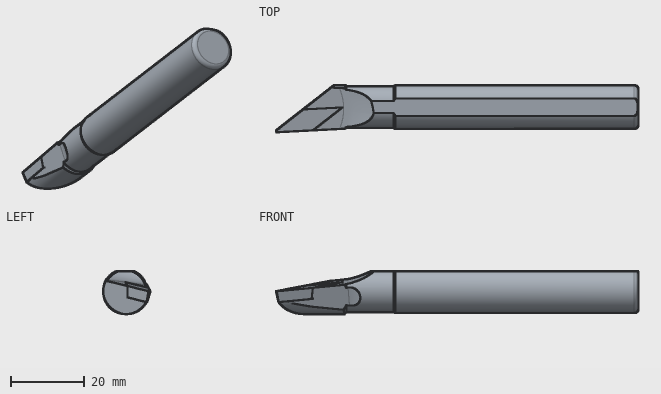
import cadquery as cq
import math

total_length = 99.16
shank_radius = 6.0
shank_start = 32.7
flat_height = 5.5
end_rounding = 1.2
neck_radius = 5.75
neck_end = 32.1
head_radius = 6.3
head_offset = -0.27
head_cone_end = 19.25
head_cone_length = 3.0

tip_y = -6.92
tip_z = -0.05
rise_along_x = 0.09
rise_along_y = 0.13
flute_centre_x = 4.1
flute_flat_radius = 14.5
flute_runout_radius = 16.0

front_angle = 3.0
corner_angle = 35.0
left_angle = front_angle + corner_angle
clearance_angle = 16.0
nose_width = 0.55
front_flat_length = 20.5
front_runout_radius = 6.0

insert_front_length = 10.85
insert_left_length = 10.25
insert_thickness = 3.08

reach = 40.0


def direction(angle):
    """Unit vector in the XY plane at an angle from +X."""
    return cq.Vector(math.cos(math.radians(angle)), math.sin(math.radians(angle)), 0)


def top_height(x, y):
    """Height of the sloping top face of the head."""
    return tip_z + rise_along_x * x + rise_along_y * (y - tip_y)


def edge_direction(angle):
    """Vector along the sloping top face that is a unit long when seen from above."""
    level = direction(angle)
    return level + cq.Vector(0, 0, rise_along_x * level.x + rise_along_y * level.y)


def rod(radius, start, end, y=0.0):
    """Round bar parallel to X."""
    return cq.Workplane("YZ", origin=(start, y, 0)).circle(radius).extrude(end - start)


nose_angle = front_angle + corner_angle / 2
nose_depth = nose_width / 2 / math.tan(math.radians(corner_angle / 2))
corner_to_nose_end = nose_depth / math.cos(math.radians(corner_angle / 2))
corner_x = -corner_to_nose_end * math.cos(math.radians(left_angle))
corner_y = tip_y - corner_to_nose_end * math.sin(math.radians(front_angle))
corner = cq.Vector(corner_x, corner_y, top_height(corner_x, corner_y))
nose_centre = corner + edge_direction(nose_angle) * nose_depth

top_normal = cq.Vector(-rise_along_x, -rise_along_y, 1)


def top_plane(x, y):
    """Frame on the sloping top face, with its normal pointing up."""
    return cq.Plane(origin=(x, y, top_height(x, y)), xDir=(1, 0, rise_along_x), normal=top_normal)


def relief_plane(origin, angle):
    """Frame along an edge of the top face; its XZ plane is the side face, leaning inwards below the edge."""
    edge = edge_direction(angle).normalized()
    lean = math.radians(clearance_angle)
    up = cq.Vector(0, 0, math.cos(lean)) - direction(angle + 90) * math.sin(lean)
    return cq.Plane(origin=origin, xDir=edge, normal=up - edge * up.dot(edge))


def space_outside(plane):
    """Large block on the outer side of a relief plane."""
    return cq.Workplane(plane).center(0, -reach / 2).rect(2 * reach, reach).extrude(reach, both=True)


def flute_cutter():
    """Space above the sloping face: a round tool with a flat end and a large corner radius."""
    rise = flute_runout_radius
    tool = (
        cq.Workplane(top_plane(flute_centre_x, head_offset))
        .transformed(rotate=(90, 0, 0))
        .lineTo(flute_flat_radius, 0)
        .radiusArc((flute_flat_radius + rise, rise), -flute_runout_radius)
        .lineTo(0, rise)
        .close()
        .revolve(360, (0, 0), (0, 1))
    )
    clearing = (
        cq.Workplane(top_plane(flute_centre_x, head_offset))
        .center(-flute_flat_radius, 0)
        .rect(2 * flute_flat_radius, 2 * flute_flat_radius)
        .extrude(rise)
    )
    return tool.union(clearing)


def front_cutter():
    """Space in front of the front face, which curves out of the neck behind the head."""
    rise = front_runout_radius
    return (
        cq.Workplane(relief_plane(corner, front_angle))
        .moveTo(-reach, 0)
        .lineTo(front_flat_length, 0)
        .radiusArc((front_flat_length + rise, -rise), front_runout_radius)
        .lineTo(front_flat_length + rise, -reach)
        .lineTo(-reach, -reach)
        .close()
        .extrude(reach, both=True)
    )


def left_cutter():
    """Space behind the upright slanted left face."""
    plane = cq.Plane(origin=corner, xDir=direction(left_angle), normal=(0, 0, 1))
    return cq.Workplane(plane).center(0, reach / 2).rect(2 * reach, reach).extrude(reach, both=True)


def nose_cutter():
    """Space ahead of the narrow nose face across the tip."""
    return space_outside(relief_plane(nose_centre, nose_angle - 90))


def make_blank():
    """Turned bar with the eccentric head, before the cutting faces are made."""
    shank = rod(shank_radius, shank_start, total_length).faces(">X").edges().fillet(end_rounding)
    neck = rod(neck_radius, 0, neck_end)
    shoulder = (
        cq.Workplane("XY")
        .moveTo(neck_end, 0)
        .lineTo(neck_end, neck_radius)
        .lineTo(shank_start, shank_radius)
        .lineTo(shank_start, 0)
        .close()
        .revolve(360, (0, 0), (1, 0))
    )
    cone_start = head_cone_end - head_cone_length
    head_limit = (
        cq.Workplane("XY")
        .lineTo(0, neck_radius + head_cone_length)
        .lineTo(cone_start, neck_radius + head_cone_length)
        .lineTo(head_cone_end, neck_radius)
        .lineTo(head_cone_end, 0)
        .close()
        .revolve(360, (0, 0), (1, 0))
    )
    head = rod(head_radius, 0, head_cone_end, head_offset).intersect(head_limit)
    above_flat = (
        cq.Workplane("XY", origin=(0, 0, flat_height))
        .rect(2 * total_length, 2 * reach)
        .extrude(reach)
    )
    return neck.union(shoulder).union(shank).union(head).cut(above_flat)


def make_insert_block():
    """Rhombus from the seat floor to the top face, reaching out past the cutting edges."""
    front_end = corner + edge_direction(front_angle) * insert_front_length
    left_end = corner + edge_direction(left_angle) * insert_left_length
    plane = cq.Plane(origin=left_end, xDir=direction(front_angle))
    column = cq.Workplane(plane).center(0, -reach / 2).rect(2 * reach, reach).extrude(reach, both=True)
    slab = cq.Workplane(top_plane(0, tip_y)).rect(reach, reach).extrude(-insert_thickness)
    return slab.intersect(column).cut(space_outside(relief_plane(front_end, left_angle)))


insert_block = make_insert_block()
side_cutters = front_cutter().union(left_cutter()).union(nose_cutter())

bar = make_blank().cut(flute_cutter()).cut(side_cutters).cut(insert_block)
insert = insert_block.cut(side_cutters)

result = cq.Compound.makeCompound([bar.val(), insert.val()])